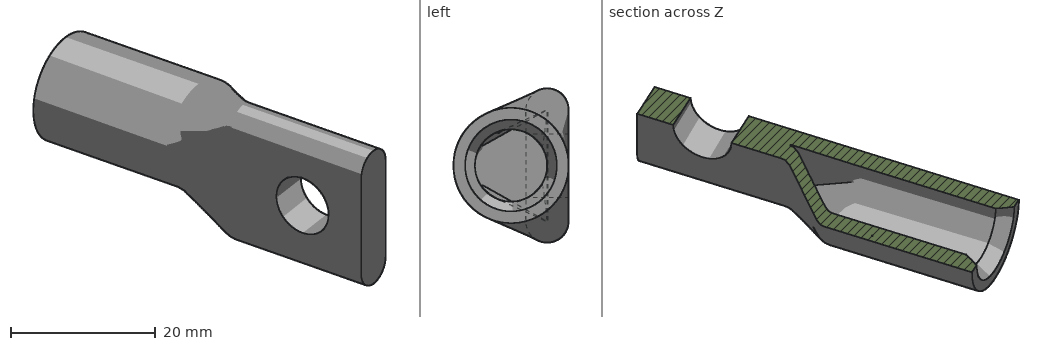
import cadquery as cq
import math

total_length = 55.1
barrel_length = 22.3
tongue_length = 21.9
barrel_diameter = 15.95
bore_diameter = 10.0
mouth_diameter = 12.7
mouth_depth = 2.2
tongue_width = 21.35
bolt_hole_diameter = 8.75
bolt_hole_to_end = 9.85
flat_half_angle = 30.0
end_rounding = 0.15
slit_height = 0.1
section_places = (0.0, 0.07, 0.15, 0.33, 0.5, 0.67, 0.85, 0.93, 1.0)

barrel_radius = barrel_diameter / 2
bore_radius = bore_diameter / 2
tongue_thickness = barrel_diameter - bore_diameter
tongue_start = total_length - tongue_length
transition_length = tongue_start - barrel_length
tongue_y = -barrel_radius + tongue_thickness / 2
slit_width = tongue_width - tongue_thickness + slit_height


def flattening(place):
    """Share of flattening: straight ramp with parabolic bends at both ends."""
    slope = 1 / (1 - end_rounding)
    if place < end_rounding:
        return slope * place**2 / (2 * end_rounding)
    if place > 1 - end_rounding:
        return 1 - slope * (1 - place)**2 / (2 * end_rounding)
    return slope * (place - end_rounding / 2)


def section(place, radius, width, height):
    """Closed outline between a circle (place 0) and a full-round slot (place 1)."""
    share = flattening(place)
    sine = math.sin(math.radians(flat_half_angle))
    cosine = math.cos(math.radians(flat_half_angle))
    half_flat = (width - height) / 2

    def blend(circle_y, circle_z, slot_y, slot_z):
        y = radius * circle_y * (1 - share) + (tongue_y + slot_y) * share
        z = radius * circle_z * (1 - share) + slot_z * share
        return (y, z)

    half_height = height / 2
    front_top = blend(-cosine, sine, -half_height, half_flat)
    front_bottom = blend(-cosine, -sine, -half_height, -half_flat)
    back_top = blend(cosine, sine, half_height, half_flat)
    back_bottom = blend(cosine, -sine, half_height, -half_flat)
    front = blend(-1, 0, -half_height, 0)
    back = blend(1, 0, half_height, 0)
    top = blend(0, 1, 0, width / 2)
    bottom = blend(0, -1, 0, -width / 2)

    outline = cq.Workplane("YZ", origin=(barrel_length + place * transition_length, 0, 0))
    outline = outline.moveTo(*front_bottom)
    outline = outline.lineTo(*front_top) if place == 1 else outline.threePointArc(front, front_top)
    outline = outline.threePointArc(top, back_top)
    outline = outline.lineTo(*back_bottom) if place == 1 else outline.threePointArc(back, back_bottom)
    return outline.threePointArc(bottom, front_bottom).close().val()


def transition(radius, width, height):
    sections = [section(place, radius, width, height) for place in section_places]
    return cq.Workplane(cq.Solid.makeLoft(sections))


barrel = cq.Workplane("YZ").circle(barrel_radius).extrude(barrel_length)
tongue = (
    cq.Workplane("YZ", origin=(tongue_start, tongue_y, 0))
    .slot2D(tongue_width, tongue_thickness, 90)
    .extrude(tongue_length)
)
body = barrel.union(transition(barrel_radius, tongue_width, tongue_thickness)).union(tongue)

bore = cq.Workplane("YZ").circle(bore_radius).extrude(barrel_length)
lead_in = cq.Workplane(
    cq.Solid.makeCone(mouth_diameter / 2, bore_radius, mouth_depth, dir=cq.Vector(1, 0, 0))
)
cavity = transition(bore_radius, slit_width, slit_height)

bolt_hole = (
    cq.Workplane("XZ", origin=(0, barrel_radius, 0))
    .center(total_length - bolt_hole_to_end, 0)
    .circle(bolt_hole_diameter / 2)
    .extrude(barrel_diameter)
)

result = body.cut(bore).cut(lead_in).cut(cavity).cut(bolt_hole)